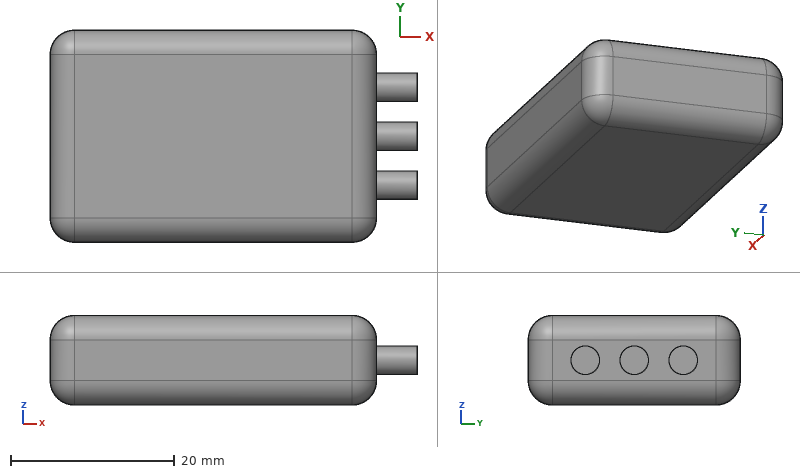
import cadquery as cq

body_length = 40.0
body_width = 26.0
body_height = 11.0
edge_radius = 3.0

stub_diameter = 3.5
stub_length = 5.0
stub_pitch = 6.0
stub_count = 3


def make_body():
    """Box centred on the origin with every edge rounded."""
    return cq.Workplane("XY").box(body_length, body_width, body_height).edges().fillet(edge_radius)


def make_stubs():
    """Row of round stubs along Y, at mid height, standing out from the +X face."""
    end_face = cq.Workplane("YZ", origin=(body_length / 2, 0, 0))
    return (
        end_face.rarray(stub_pitch, 1, stub_count, 1)
        .circle(stub_diameter / 2)
        .extrude(stub_length)
    )


result = make_body().union(make_stubs())